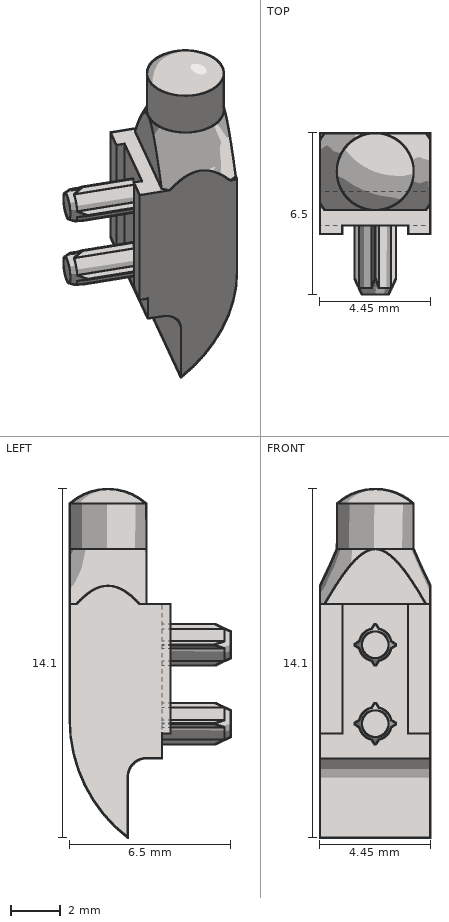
import cadquery as cq
import math


full_turn = 360

body_width = 4.45
body_top = 9.42
total_height = 14.05
total_depth = 6.5
foot_depth = 2.35
foot_top = 3.2
foot_fillet = 0.75
base_depth = 3.73
rail_depth = 4.07
rail_width = 0.9
rail_bottom = 4.2
back_arc_radius = 6.0

button_radius = 1.55
dome_height = 0.6
neck_top = 11.62
neck_bottom_radius = 2.56

pin_heights = (4.595, 7.77)
pin_radius = 0.66
pin_tip_radius = 0.54
fin_radius = 0.84
fin_half_width = 0.145
fin_tip_half_width = 0.02
fin_count = 4
pin_taper_length = 0.64

back_y = button_radius
foot_front_y = back_y - foot_depth
base_front_y = back_y - base_depth
rail_front_y = back_y - rail_depth
pin_tip_y = back_y - total_depth
pin_length = base_front_y - pin_tip_y


def make_body():
    """Main block with an arced back that runs down to a sharp foot."""
    arc_angle = math.acos(1 - foot_depth / back_arc_radius)
    arc_start_z = back_arc_radius * math.sin(arc_angle)
    mid_angle = arc_angle / 2
    arc_mid = (
        back_y - back_arc_radius * (1 - math.cos(mid_angle)),
        arc_start_z - back_arc_radius * math.sin(mid_angle),
    )
    return (
        cq.Workplane("YZ")
        .moveTo(foot_front_y, 0)
        .lineTo(foot_front_y, foot_top - foot_fillet)
        .radiusArc((foot_front_y - foot_fillet, foot_top), -foot_fillet)
        .lineTo(base_front_y, foot_top)
        .lineTo(base_front_y, body_top)
        .lineTo(back_y, body_top)
        .lineTo(back_y, arc_start_z)
        .threePointArc(arc_mid, (foot_front_y, 0))
        .close()
        .extrude(body_width / 2, both=True)
    )


def make_rail(side):
    """Raised rail along one side edge of the front; side is -1 or +1."""
    rail = cq.Workplane("XY").box(
        rail_width,
        rail_depth - base_depth,
        body_top - rail_bottom,
        centered=(True, False, False),
    )
    center_x = side * (body_width - rail_width) / 2
    return rail.translate((center_x, rail_front_y, rail_bottom))


def make_neck():
    """Cone flaring down from the button, trimmed flat to the body sides and button depth."""
    neck_height = neck_top - body_top
    cone = (
        cq.Workplane("XZ")
        .moveTo(0, body_top)
        .lineTo(neck_bottom_radius, body_top)
        .lineTo(button_radius, neck_top)
        .lineTo(0, neck_top)
        .close()
        .revolve(full_turn, (0, 0), (0, 1))
    )
    limits = (
        cq.Workplane("XY", origin=(0, 0, body_top))
        .rect(body_width, 2 * button_radius)
        .extrude(neck_height)
    )
    return cone.intersect(limits)


def make_button():
    """Cylinder closed by a spherical dome."""
    dome_base = total_height - dome_height
    dome_radius = (button_radius**2 + dome_height**2) / (2 * dome_height)
    return (
        cq.Workplane("XZ")
        .moveTo(0, neck_top)
        .lineTo(button_radius, neck_top)
        .lineTo(button_radius, dome_base)
        .radiusArc((0, total_height), -dome_radius)
        .close()
        .revolve(full_turn, (0, 0), (0, 1))
    )


def make_pin(center_z):
    """Round pin with four narrow-tipped crush fins, all tapered at the tip."""
    plane = cq.Workplane("XZ", origin=(0, base_front_y, center_z))
    pin = plane.circle(pin_radius).extrude(pin_length)
    fin_base = math.sqrt(pin_radius**2 - fin_half_width**2)
    fin = (
        plane.lineTo(fin_half_width, fin_base)
        .lineTo(fin_tip_half_width, fin_radius)
        .lineTo(-fin_tip_half_width, fin_radius)
        .lineTo(-fin_half_width, fin_base)
        .close()
        .extrude(pin_length)
    )
    axis_start = (0, 0, center_z)
    axis_end = (0, 1, center_z)
    for index in range(fin_count):
        pin = pin.union(fin.rotate(axis_start, axis_end, index * full_turn / fin_count))

    taper_slope = (fin_radius - pin_tip_radius) / pin_taper_length
    cone_base_radius = pin_tip_radius + taper_slope * pin_length
    taper_cone = (
        cq.Workplane("XY", origin=(0, 0, center_z))
        .moveTo(0, base_front_y)
        .lineTo(cone_base_radius, base_front_y)
        .lineTo(pin_tip_radius, pin_tip_y)
        .lineTo(0, pin_tip_y)
        .close()
        .revolve(full_turn, (0, 0), (0, 1))
    )
    return pin.intersect(taper_cone)


result = make_body().union(make_neck()).union(make_button())
for rail_side in (-1, 1):
    result = result.union(make_rail(rail_side))
for pin_height in pin_heights:
    result = result.union(make_pin(pin_height))